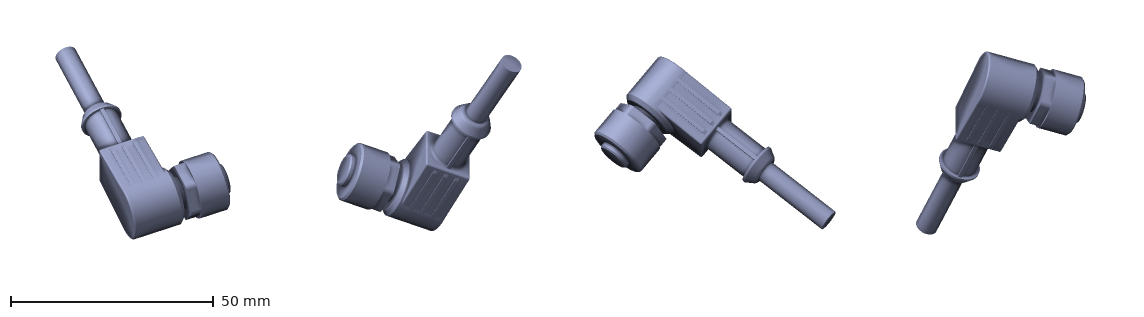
import cadquery as cq
import math


insert_radius = 4.1
insert_end_y = 21.0
insert_chamfer = 0.4
nut_radius = 7.5
nut_start_y = 11.7
nut_end_y = 19.5
nut_chamfer = 0.5
hex_across_flats = 13.0
hex_start_y = 9.0
hex_corner_radius = 1.35
neck_radius = 4.25

head_radius = 7.4
head_top_y = 7.6
head_chamfer = 1.05
housing_half_depth = 6.0
housing_end_x = -16.0
housing_end_half_height = 5.95
housing_joint_x = -1.7
edge_fillet = 0.45

grip_rib_width = 1.0
grip_rib_pitch = 3.0
grip_rib_count = 3
grip_rib_start_x = -15.0
grip_rib_end_x = -0.6
grip_rib_start_half_height = 6.4
grip_rib_ramp = 0.75
grip_rib_ramp_rise = 0.3

cable_radius = 2.75
cable_end_x = -51.5
collar_start_x = -31.5
collar_end_x = -28.4
collar_radius = 5.3
collar_band = 0.6
collar_face_radius = 3.8
collar_nose_fillet = 1.2
sleeve_radius = 4.4
sleeve_root_fillet = 0.8
sleeve_rib_half_height = 4.9
sleeve_rib_width = 1.0


def rod_along_y(radius, start_y, end_y):
    plane = cq.Workplane("XZ", origin=(0, start_y, 0))
    return plane.circle(radius).extrude(start_y - end_y)


def rod_along_x(radius, start_x, end_x):
    return cq.Workplane("YZ", origin=(start_x, 0, 0)).circle(radius).extrude(end_x - start_x)


def height_on_head(x):
    return math.sqrt(head_radius**2 - x**2)


def make_housing():
    """Tapered block that ends in a round head, with the plug seat raised on the head."""
    joint_height = height_on_head(housing_joint_x)
    block = (
        cq.Workplane("XZ", origin=(0, housing_half_depth, 0))
        .moveTo(housing_end_x, -housing_end_half_height)
        .lineTo(housing_joint_x, -joint_height)
        .threePointArc((head_radius, 0), (housing_joint_x, joint_height))
        .lineTo(housing_end_x, housing_end_half_height)
        .close()
        .extrude(2 * housing_half_depth)
    )
    block = block.faces("<X or <Y or >Y").edges().fillet(edge_fillet)
    seat = rod_along_y(head_radius, 0, head_top_y).faces(">Y").chamfer(head_chamfer)
    return block.union(seat)


def make_grip_ribs():
    """Bars across the full height of the housing, proud of both sloped sides."""
    ramp_end_x = grip_rib_start_x + grip_rib_ramp
    end_height = height_on_head(grip_rib_end_x)
    foot_height = grip_rib_start_half_height - grip_rib_ramp_rise
    upper_side = [
        (grip_rib_start_x, foot_height),
        (ramp_end_x, grip_rib_start_half_height),
        (grip_rib_end_x, end_height),
    ]
    lower_side = [(x, -z) for x, z in reversed(upper_side)]
    ribs = cq.Workplane("XZ")
    for index in range(grip_rib_count):
        center_y = (index - (grip_rib_count - 1) / 2) * grip_rib_pitch
        rib = (
            cq.Workplane("XZ", origin=(0, center_y, 0))
            .polyline(upper_side + lower_side)
            .close()
            .extrude(grip_rib_width / 2, both=True)
        )
        ribs = ribs.add(rib)
    return ribs.combine()


def make_plug():
    """Neck, hexagon, coupling nut and contact insert stacked along +Y."""
    neck = rod_along_y(neck_radius, 0, nut_start_y)
    hexagon = (
        cq.Workplane("XZ", origin=(0, hex_start_y, 0))
        .polygon(6, hex_across_flats / math.cos(math.pi / 6))
        .extrude(hex_start_y - nut_start_y)
        .edges("|Y")
        .fillet(hex_corner_radius)
    )
    nut = rod_along_y(nut_radius, nut_start_y, nut_end_y).faces(">Y").chamfer(nut_chamfer)
    insert = rod_along_y(insert_radius, nut_start_y, insert_end_y).faces(">Y").chamfer(insert_chamfer)
    return neck.union(hexagon).union(nut).union(insert)


def make_collar():
    """Flared ring with a rounded nose facing the cable."""
    return (
        cq.Workplane("XY")
        .moveTo(collar_start_x, 0)
        .lineTo(collar_start_x, collar_face_radius)
        .lineTo(collar_end_x - collar_band, collar_radius)
        .lineTo(collar_end_x, collar_radius)
        .lineTo(collar_end_x, 0)
        .close()
        .revolve(360, (0, 0, 0), (1, 0, 0))
        .faces("<X")
        .edges()
        .fillet(collar_nose_fillet)
    )


def make_sleeve():
    """Sleeve that flares into the housing, with one rib on top and one below."""
    flare_start_x = housing_end_x - sleeve_root_fillet
    flare_radius = sleeve_radius + sleeve_root_fillet
    flare_drop = sleeve_root_fillet * math.sqrt(0.5)
    sleeve = (
        cq.Workplane("XY")
        .moveTo(collar_end_x, 0)
        .lineTo(collar_end_x, sleeve_radius)
        .lineTo(flare_start_x, sleeve_radius)
        .threePointArc(
            (flare_start_x + flare_drop, flare_radius - flare_drop),
            (housing_end_x, flare_radius),
        )
        .lineTo(0, flare_radius)
        .lineTo(0, 0)
        .close()
        .revolve(360, (0, 0, 0), (1, 0, 0))
    )
    ribs = (
        cq.Workplane("YZ", origin=(collar_end_x, 0, 0))
        .rect(sleeve_rib_width, 2 * sleeve_rib_half_height)
        .extrude(-collar_end_x)
    )
    return sleeve.union(ribs)


cable = rod_along_x(cable_radius, cable_end_x, 0)

result = (
    make_housing()
    .union(make_grip_ribs())
    .union(make_plug())
    .union(make_sleeve())
    .union(make_collar())
    .union(cable)
)